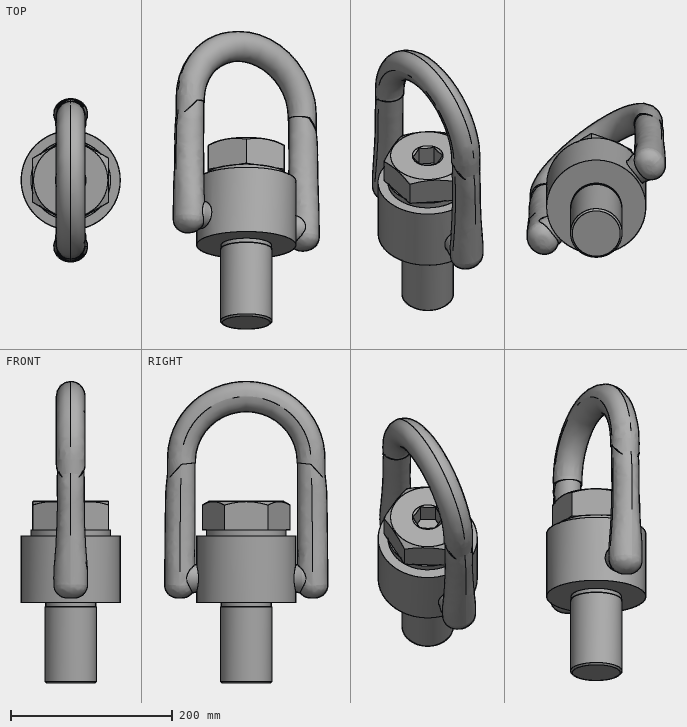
import cadquery as cq
import math


shank_diameter = 64.0
tip_chamfer = 2.2
shank_top = 94.3
neck_diameter = 62.5
neck_chamfer = (shank_diameter - neck_diameter) / 2
flange_diameter = 98.8
flange_height = 7.5
head_flats = 94.3
head_height = 35.5
head_face_diameter = 92.0
head_bevel_angle = 30.0
head_bevel_slope = math.tan(math.radians(head_bevel_angle))
socket_flats = 32.0
socket_depth = 26.0
socket_mouth_diameter = 38.0

housing_diameter = 123.0
housing_bottom = 100.0
housing_height = 82.5
housing_top = housing_bottom + housing_height
head_bottom = housing_top + flange_height
head_top = head_bottom + head_height

peg_height = 129.8
peg_radius = 17.0
peg_inner_end = 45.0
peg_flare_start = housing_diameter / 2
peg_flare_end = 69.5
peg_flare_radius = 19.0

bail_top = 374.0
bail_width = 202.5
leg_inner_face = 63.2
arch_base = 277.0
arch_width = 36.0
arch_inner_face = 63.0
arch_depth_at_base = 34.8
arch_depth_at_crown = 37.8
leg_end_width = 42.3
leg_end_depth = bail_width / 2 - leg_inner_face
leg_end_center = leg_inner_face + leg_end_depth / 2
leg_end_rounding = 16.5
leg_bottom = 105.5
arch_leg_center = arch_inner_face + arch_depth_at_base / 2

leg_sections = [
    (leg_bottom, leg_end_width, leg_end_depth),
    (127.2, leg_end_width, leg_end_depth),
    (142.0, 41.5, leg_end_depth),
    (164.5, 37.8, leg_end_depth),
    (187.0, 35.0, 37.5),
    (213.2, 33.3, 37.0),
    (237.5, 33.5, 36.5),
    (254.5, 33.5, 35.0),
    (arch_base, 33.5, 33.0),
]

lap_outer_height = 252.0
lap_middle_height = 271.2
lap_inner_height = 273.0


def hexagon_diameter(flats):
    """Diameter across the corners of a hexagon with the given width across flats."""
    return flats / math.cos(math.pi / 6)


def hexagon_prism(flats, bottom, height):
    """Hexagonal prism on the Z axis with corners on the Y axis."""
    prism = cq.Workplane("XY").polygon(6, hexagon_diameter(flats)).extrude(height)
    return prism.rotate((0, 0, 0), (0, 0, 1), 90).translate((0, 0, bottom))


def disc(diameter, bottom, height):
    return cq.Workplane("XY").workplane(offset=bottom).circle(diameter / 2).extrude(height)


def make_head():
    """Hexagon head with bevelled corners and a countersunk hexagon socket."""
    corner_radius = hexagon_diameter(head_flats) / 2
    face_radius = head_face_diameter / 2
    bevel_depth = (corner_radius - face_radius) * head_bevel_slope
    bevel_envelope = (
        cq.Workplane("XZ")
        .moveTo(0, head_bottom)
        .lineTo(corner_radius, head_bottom)
        .lineTo(corner_radius, head_top - bevel_depth)
        .lineTo(face_radius, head_top)
        .lineTo(0, head_top)
        .close()
        .revolve(360, (0, 0, 0), (0, 1, 0))
    )
    mouth_radius = socket_mouth_diameter / 2
    countersink = cq.Workplane(
        cq.Solid.makeCone(
            mouth_radius, 0, mouth_radius * head_bevel_slope,
            cq.Vector(0, 0, head_top), cq.Vector(0, 0, -1),
        )
    )
    socket = hexagon_prism(socket_flats, head_top - socket_depth, socket_depth)
    head = hexagon_prism(head_flats, head_bottom, head_height).intersect(bevel_envelope)
    return head.cut(socket).cut(countersink)


def make_bolt():
    shank = disc(shank_diameter, 0, shank_top + neck_chamfer)
    shank = shank.faces("<Z").chamfer(tip_chamfer).faces(">Z").chamfer(neck_chamfer)
    neck = disc(neck_diameter, shank_top, housing_top - shank_top)
    flange = disc(flange_diameter, housing_top, flange_height)
    return shank.union(neck).union(flange).union(make_head())


def make_peg():
    """Peg on the +Y side, flaring out where it joins the leg."""
    return (
        cq.Workplane("XY", origin=(0, 0, peg_height))
        .moveTo(0, peg_inner_end)
        .lineTo(peg_radius, peg_inner_end)
        .lineTo(peg_radius, peg_flare_start)
        .lineTo(peg_flare_radius, peg_flare_end)
        .lineTo(peg_flare_radius, leg_end_center)
        .lineTo(0, leg_end_center)
        .close()
        .revolve(360, (0, 0, 0), (0, 1, 0))
    )


def make_housing():
    housing = disc(housing_diameter, housing_bottom, housing_height)
    housing = housing.cut(disc(neck_diameter, housing_bottom, housing_height))
    peg = make_peg()
    return housing.cut(peg).cut(peg.mirror("XZ"))


def leg_outline(height, width, depth):
    """Elliptical wire of a leg, flush with the straight inner face of the leg."""
    center = (0, leg_inner_face + depth / 2, height)
    return cq.Workplane("XY", origin=center).ellipse(width / 2, depth / 2).wires().val()


def make_arch_lap():
    """Straight end of the arch that laps over the top of the leg, cut off at a slant."""
    tube = (
        cq.Workplane("XY", origin=(0, arch_leg_center, lap_outer_height))
        .ellipse(arch_width / 2, arch_depth_at_base / 2)
        .extrude(arch_base - lap_outer_height)
    )
    outer_face = arch_inner_face + arch_depth_at_base
    below_slant = (
        cq.Workplane("YZ")
        .moveTo(outer_face, lap_outer_height)
        .lineTo(arch_leg_center, lap_middle_height)
        .lineTo(arch_inner_face, lap_inner_height)
        .lineTo(arch_inner_face, lap_outer_height)
        .close()
        .extrude(arch_width, both=True)
    )
    return tube.cut(below_slant)


def make_leg():
    """Leg on the +Y side with its rounded end and its peg."""
    shaft = cq.Solid.makeLoft([leg_outline(*section) for section in leg_sections])
    leg = cq.Workplane(shaft).faces("<Z").edges().fillet(leg_end_rounding)
    return leg.union(make_peg()).union(make_arch_lap())


def arch_outline(y, z, direction, depth):
    """Elliptical wire of the arch, square to the direction in which the arch runs."""
    plane = cq.Plane(origin=(0, y, z), xDir=(1, 0, 0), normal=direction)
    return cq.Workplane(plane).ellipse(arch_width / 2, depth / 2).wires().val()


def make_arch():
    """Half-elliptical arch whose section is deepest at the crown."""
    crown_center = bail_top - arch_depth_at_crown / 2
    rise = crown_center - arch_base
    path = cq.Workplane("YZ", origin=(0, 0, arch_base)).ellipseArc(
        arch_leg_center, rise, 0, 180, startAtCurrent=False
    )
    outlines = [
        arch_outline(arch_leg_center, arch_base, (0, 0, 1), arch_depth_at_base),
        arch_outline(0, crown_center, (0, -1, 0), arch_depth_at_crown),
        arch_outline(-arch_leg_center, arch_base, (0, 0, -1), arch_depth_at_base),
    ]
    return cq.Workplane(cq.Solid.sweep_multi(outlines, path.val()))


def make_bail():
    leg = make_leg()
    return make_arch().union(leg).union(leg.mirror("XZ"))


bolt = make_bolt()
housing = make_housing()
bail = make_bail()
result = cq.Compound.makeCompound([bolt.val(), housing.val(), bail.val()])